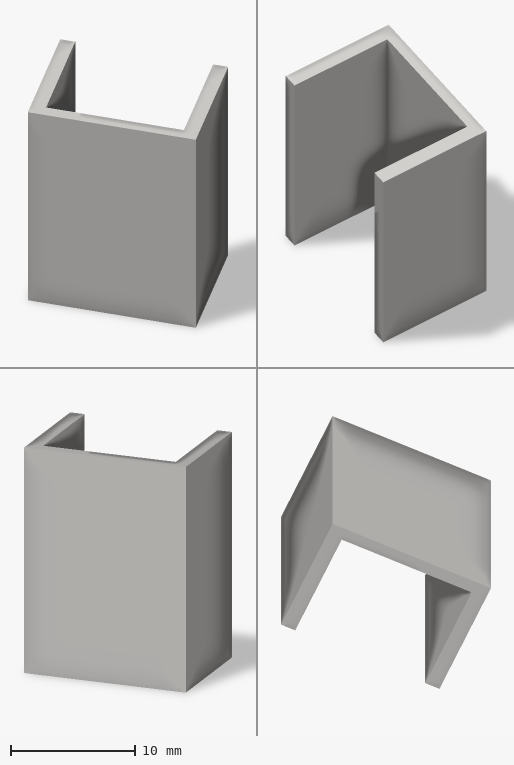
import cadquery as cq

width = 14.0
depth = 10.0
height = 19.05

side_wall = 1.25
front_wall = 1.0

block = cq.Workplane("XY").box(width, depth, height, centered=(True, False, False))

channel = (
    cq.Workplane("XY")
    .box(width - 2 * side_wall, depth - front_wall, height, centered=(True, False, False))
    .translate((0, front_wall, 0))
)

result = block.cut(channel)